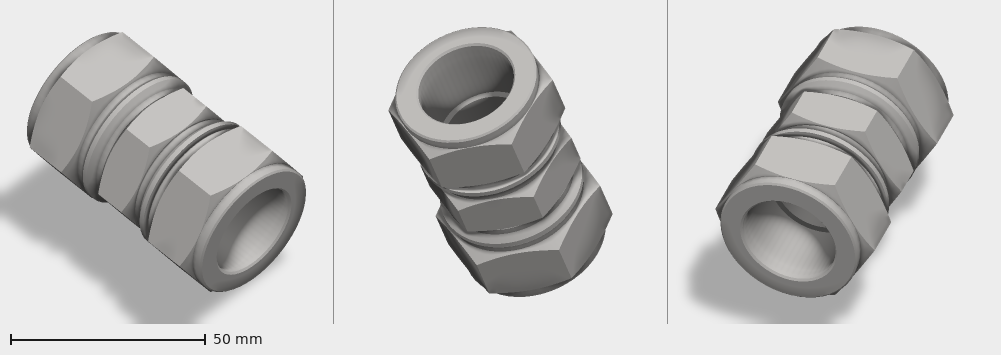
import cadquery as cq
import math

length = 65.1
nut_across_flats = 38.1
body_across_flats = 34.95
cone_slope = math.tan(math.radians(30))

half_length = length / 2
nut_hex_outer = 29.55
nut_hex_inner = 14.0
nut_inner_end = 11.85
flange_outer = 11.25
flange_inner = 9.9
shoulder_end = 6.4
body_hex_end = 6.0

collar_diameter = 37.8
barrel_diameter = 36.5
neck_diameter = 33.3
flange_diameter = 38.0
shoulder_diameter = 34.5
relief_diameter = 33.85
edge_chamfer = 0.45

bore_diameter = 22.3
socket_diameter = 25.6
socket_depth = 19.5
socket_chamfer = 0.5


def cylinder(diameter, start, end):
    """Solid cylinder along X between two positions."""
    return cq.Workplane("YZ", origin=(start, 0, 0)).circle(diameter / 2).extrude(end - start)


def hexagon(across_flats, start, end, start_diameter, end_diameter):
    """Hexagon along X with flats on top and bottom, each end cut by a 30 degree cone."""
    corner_diameter = across_flats / math.cos(math.radians(30))
    corner_radius = corner_diameter / 2
    prism = cq.Workplane("YZ", origin=(start, 0, 0)).polygon(6, corner_diameter).extrude(end - start)
    start_run = (corner_radius - start_diameter / 2) * cone_slope
    end_run = (corner_radius - end_diameter / 2) * cone_slope
    envelope = (
        cq.Workplane("XY")
        .moveTo(start, 0)
        .lineTo(start, start_diameter / 2)
        .lineTo(start + start_run, corner_radius)
        .lineTo(end - end_run, corner_radius)
        .lineTo(end, end_diameter / 2)
        .lineTo(end, 0)
        .close()
        .revolve(360, (0, 0, 0), (1, 0, 0))
    )
    return prism.intersect(envelope)


def nut():
    """Compression nut on the +X side, with a round collar outside and a barrel inside."""
    hex_part = hexagon(nut_across_flats, nut_hex_inner, nut_hex_outer, barrel_diameter, nut_across_flats)
    nut_middle = (nut_hex_inner + nut_hex_outer) / 2
    collar = cylinder(collar_diameter, nut_middle, half_length).faces(">X").chamfer(edge_chamfer)
    barrel = cylinder(barrel_diameter, nut_inner_end, nut_middle).faces("<X").chamfer(edge_chamfer)
    return hex_part.union(barrel).union(collar)


def flange():
    """Neck, flange with a 45 degree back, shoulder and relief beside the middle hexagon."""
    cone_run = (flange_diameter - shoulder_diameter) / 2
    rim = cylinder(flange_diameter, flange_inner - cone_run, flange_outer).faces("<X").chamfer(cone_run)
    shoulder = cylinder(shoulder_diameter, shoulder_end, flange_outer)
    relief = cylinder(relief_diameter, 0, flange_outer)
    neck = cylinder(neck_diameter, 0, nut_hex_inner)
    return neck.union(relief).union(shoulder).union(rim)


def socket():
    """Tube socket bored in from the +X end, with a chamfered mouth."""
    bottom = half_length - socket_depth
    radius = socket_diameter / 2
    return (
        cq.Workplane("XY")
        .moveTo(bottom, 0)
        .lineTo(bottom, radius)
        .lineTo(half_length - socket_chamfer, radius)
        .lineTo(half_length, radius + socket_chamfer)
        .lineTo(half_length, 0)
        .close()
        .revolve(360, (0, 0, 0), (1, 0, 0))
    )


half = flange().union(nut()).cut(socket())
body = hexagon(body_across_flats, -body_hex_end, body_hex_end, shoulder_diameter, shoulder_diameter)
result = body.union(half).union(half.mirror("YZ"))
result = result.cut(cylinder(bore_diameter, -half_length, half_length))